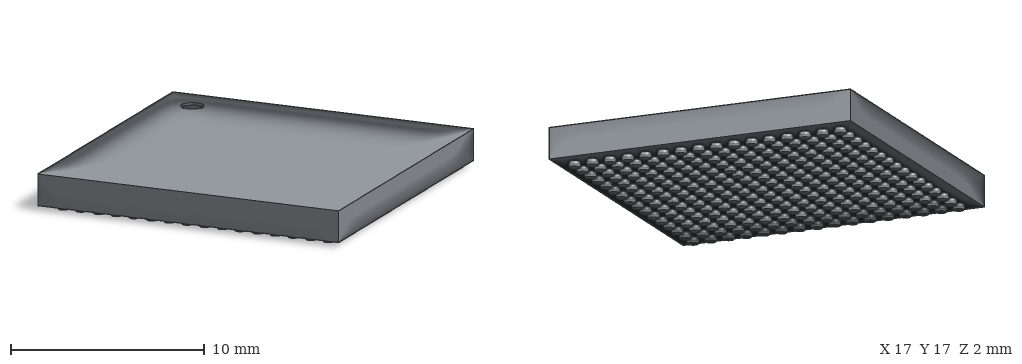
import cadquery as cq

body_side = 17.0
body_height = 1.7

balls_per_side = 16
edge_margin = 1.0
ball_pitch = (body_side - 2 * edge_margin) / (balls_per_side - 1)
ball_radius = 0.3
ball_height = 0.3
ball_flat_radius = (ball_radius**2 - (ball_height / 2) ** 2) ** 0.5

mark_inset = 2.0
mark_diameter = 1.2
mark_wall_taper = 45
mark_depth = 0.1


def make_body():
    return cq.Workplane("XY").box(body_side, body_side, body_height, centered=(True, True, False))


def make_ball():
    """One barrel-shaped ball hanging below Z = 0."""
    return (
        cq.Workplane("XZ")
        .lineTo(-ball_flat_radius, 0)
        .threePointArc((-ball_radius, -ball_height / 2), (-ball_flat_radius, -ball_height))
        .lineTo(0, -ball_height)
        .close()
        .revolve(360, (0, 0, 0), (0, 1, 0))
        .val()
    )


def make_ball_grid():
    ball = make_ball()
    return (
        cq.Workplane("XY")
        .rarray(ball_pitch, ball_pitch, balls_per_side, balls_per_side)
        .eachpoint(lambda place: ball.moved(place))
    )


def make_pin_one_mark():
    mark_offset = body_side / 2 - mark_inset
    return (
        cq.Workplane("XY", origin=(-mark_offset, mark_offset, body_height))
        .circle(mark_diameter / 2)
        .extrude(-mark_depth, taper=mark_wall_taper)
    )


result = make_body().cut(make_pin_one_mark()).union(make_ball_grid())